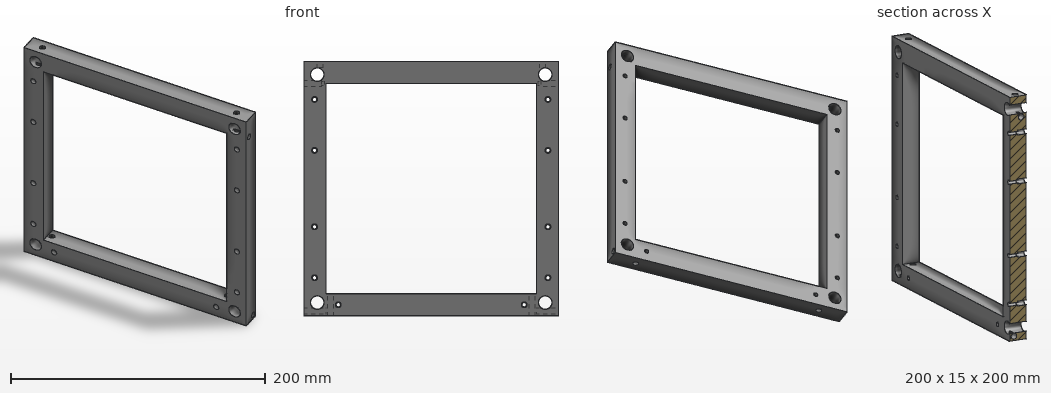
import cadquery as cq

outer_side = 200.0
opening_side = 165.0
thickness = 15.0
half_side = outer_side / 2
half_thickness = thickness / 2
bar_width = (outer_side - opening_side) / 2

corner_hole_diameter = 10.5
corner_hole_pitch = 179.0
corner_hole_offset = corner_hole_pitch / 2

entry_diameter = 4.5
pilot_diameter = 3.5

column_screw_x = 91.5
column_screw_heights = (30.0, 70.0)
bottom_screw_x = 73.0
bottom_screw_z = -91.2

edge_hole_diameter = 4.5
top_hole_x = 87.5
top_hole_y = -0.5
top_hole_depth = 5.0
bottom_hole_x = 79.0
lower_side_hole_y = 3.5
lower_side_hole_z = -96.2

upper_side_hole_y = -2.8
upper_side_hole_z = opening_side / 2
upper_side_entry_depth = 14.0
upper_side_pilot_depth = 16.0


def drill(start, direction, diameter, depth):
    """Cylinder running from a start point along a direction."""
    cylinder = cq.Solid.makeCylinder(diameter / 2, depth, cq.Vector(*start), cq.Vector(*direction))
    return cq.Workplane(cylinder)


def stepped_drill(start, direction, entry_depth, full_depth):
    """Wide entry and narrower pilot on one axis."""
    entry = drill(start, direction, entry_diameter, entry_depth)
    return entry.union(drill(start, direction, pilot_diameter, full_depth))


def cut_corner_holes(body):
    for x in (-corner_hole_offset, corner_hole_offset):
        for z in (-corner_hole_offset, corner_hole_offset):
            body = body.cut(drill((x, -half_thickness, z), (0, 1, 0), corner_hole_diameter, thickness))
    return body


def cut_front_screw_holes(body):
    places = [(bottom_screw_x, bottom_screw_z)]
    for height in column_screw_heights:
        places += [(column_screw_x, height), (column_screw_x, -height)]
    for side in (-1, 1):
        for x, z in places:
            body = body.cut(
                stepped_drill((side * x, -half_thickness, z), (0, 1, 0), half_thickness, thickness)
            )
    return body


def cut_top_and_bottom_holes(body):
    """The top holes stop short of the corner holes; the bottom ones pass through the bottom bar."""
    for side in (-1, 1):
        top_start = (side * top_hole_x, top_hole_y, half_side)
        bottom_start = (side * bottom_hole_x, 0, -half_side)
        body = body.cut(drill(top_start, (0, 0, -1), edge_hole_diameter, top_hole_depth))
        body = body.cut(drill(bottom_start, (0, 0, 1), edge_hole_diameter, bar_width))
    return body


def cut_side_holes(body):
    """Both column sides carry a plain lower hole and a stepped upper hole, grazing the corner holes."""
    for side in (-1, 1):
        inward = (-side, 0, 0)
        lower_start = (side * half_side, lower_side_hole_y, lower_side_hole_z)
        upper_start = (side * half_side, upper_side_hole_y, upper_side_hole_z)
        body = body.cut(drill(lower_start, inward, edge_hole_diameter, bar_width))
        body = body.cut(
            stepped_drill(upper_start, inward, upper_side_entry_depth, upper_side_pilot_depth)
        )
    return body


opening = cq.Workplane("XY").box(opening_side, thickness, opening_side)
frame = cq.Workplane("XY").box(outer_side, thickness, outer_side).cut(opening)
frame = cut_corner_holes(frame)
frame = cut_front_screw_holes(frame)
frame = cut_top_and_bottom_holes(frame)
result = cut_side_holes(frame)